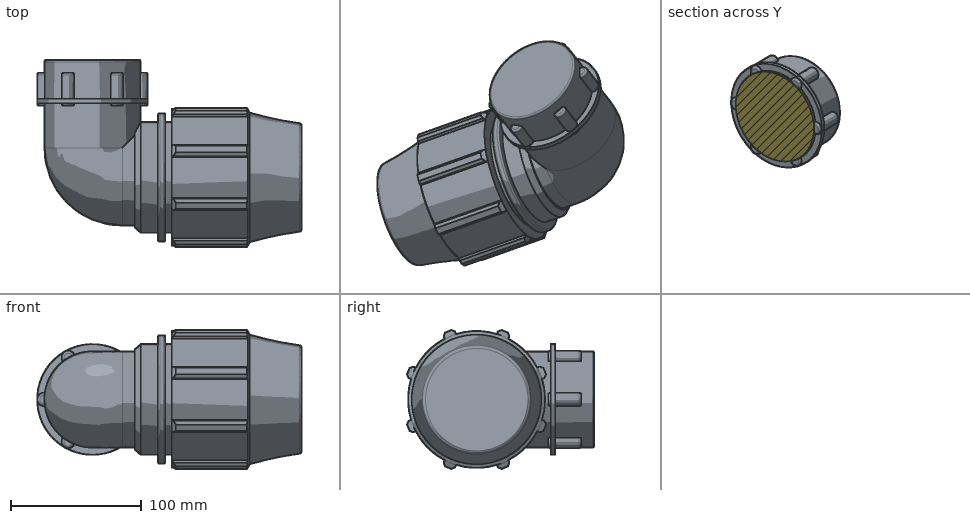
import cadquery as cq
import math


tube_radius = 73.7 / 2
bend_radius = 22.7
spigot_end = 89.8
spigot_rounding = 1.5

flange_radius = 84.8 / 2
flange_start = 56.7
flange_thickness = 3.5
grip_count = 6
grip_radius = 5.0
grip_circle_radius = 37.2
grip_start = 54.6
grip_end = 80.1
grip_rounding = 1.8

body_radius = 84.8 / 2
shoulder_start = 32.2
shoulder_radius = 38.2
shoulder_length = 4.9

ring_radius = 98.3 / 2
ring_start = 50.0
ring_width = 5.7
ring_rounding = 1.5

nut_radius = 52.5
nut_start = 60.5
nut_length = 59.5
nut_end = nut_start + nut_length
nut_end_chamfer = 1.5
nose_base_radius = 49.5
nose_end_radius = 41.3
nose_end = 202.4 - flange_radius
nose_sag = 0.8
nose_rounding = 2.5

rib_count = 8
rib_tip_radius = 56.5
rib_tip_width = 5.3
rib_width = 9.5
rib_shoulder_radius = 54.2
rib_lead_in = 3.0
rib_rear_bevel = 0.6
rib_front_radius = 52.8
rib_embed = 4.0
rib_root_radius = nut_radius - rib_embed
envelope_clearance = 2.0


def cylinder_along_x(start, end, radius):
    return cq.Workplane("YZ", origin=(start, 0, 0)).circle(radius).extrude(end - start)


def cylinder_along_y(start, end, radius, x=0, z=0):
    plane = cq.Plane(origin=(x, start, z), xDir=(1, 0, 0), normal=(0, 1, 0))
    return cq.Workplane(plane).circle(radius).extrude(end - start)


def revolve_about_x(profile):
    return profile.close().revolve(360, (0, 0, 0), (1, 0, 0))


def make_bend():
    """Quarter turn of the tube section, cut off at the bend axis."""
    half_height = math.sqrt(tube_radius**2 - bend_radius**2)
    section = (
        cq.Workplane("XZ", origin=(bend_radius, bend_radius, 0))
        .moveTo(0, half_height)
        .threePointArc((-bend_radius - tube_radius, 0), (0, -half_height))
        .close()
    )
    return section.revolve(90, (0, 0, 0), (0, 1, 0))


def make_spigot():
    tube = cylinder_along_y(bend_radius, spigot_end, tube_radius)
    return tube.faces(">Y").edges().fillet(spigot_rounding)


def make_collar():
    """Flange crossed by round grips whose outer sides stop just inside its rim."""
    collar = cylinder_along_y(flange_start, flange_start + flange_thickness, flange_radius)
    for index in range(grip_count):
        angle = math.radians(index * 360 / grip_count)
        grip = cylinder_along_y(
            grip_start,
            grip_end,
            grip_radius,
            x=grip_circle_radius * math.cos(angle),
            z=grip_circle_radius * math.sin(angle),
        )
        collar = collar.union(grip.edges("%CIRCLE").fillet(grip_rounding))
    return collar


def make_socket_body():
    neck = cylinder_along_x(bend_radius, nut_start, tube_radius)
    body = revolve_about_x(
        cq.Workplane("XY")
        .moveTo(shoulder_start, 0)
        .lineTo(shoulder_start, shoulder_radius)
        .lineTo(shoulder_start + shoulder_length, body_radius)
        .lineTo(nut_start, body_radius)
        .lineTo(nut_start, 0)
    )
    ring = cylinder_along_x(ring_start, ring_start + ring_width, ring_radius)
    ring = ring.edges("%CIRCLE").fillet(ring_rounding)
    return neck.union(body).union(ring)


def make_nut_ribs():
    """Straight-sided ribs with bevelled tips, along the full length of the barrel, as a list."""
    rib = (
        cq.Workplane("YZ", origin=(nut_start, 0, 0))
        .moveTo(-rib_width / 2, rib_root_radius)
        .lineTo(-rib_width / 2, rib_shoulder_radius)
        .lineTo(-rib_tip_width / 2, rib_tip_radius)
        .lineTo(rib_tip_width / 2, rib_tip_radius)
        .lineTo(rib_width / 2, rib_shoulder_radius)
        .lineTo(rib_width / 2, rib_root_radius)
        .close()
        .extrude(nut_length)
    )
    pitch = 360 / rib_count
    return [rib.rotate((0, 0, 0), (1, 0, 0), (index + 0.5) * pitch) for index in range(rib_count)]


def make_nut_envelope():
    """Turned shape that slopes the front ends of the ribs and bevels the rear of the nut."""
    lead_in_slope = rib_lead_in / (rib_tip_radius - rib_front_radius)
    rear_slope = rib_rear_bevel / (rib_tip_radius - nut_radius)
    bevel_start = nut_end - nut_end_chamfer
    peak_radius = rib_tip_radius + envelope_clearance
    return revolve_about_x(
        cq.Workplane("XY")
        .moveTo(nut_start, 0)
        .lineTo(nut_start, rib_front_radius)
        .lineTo(nut_start + (peak_radius - rib_front_radius) * lead_in_slope, peak_radius)
        .lineTo(bevel_start - (peak_radius - nut_radius) * rear_slope, peak_radius)
        .lineTo(bevel_start, nut_radius)
        .lineTo(nut_end, nose_base_radius)
        .lineTo(nut_end, 0)
    )


def make_nose():
    """Tapering, slightly hollow-sided end of the nut."""
    flank_middle = (
        (nut_end + nose_end) / 2,
        (nose_base_radius + nose_end_radius) / 2 - nose_sag,
    )
    nose = revolve_about_x(
        cq.Workplane("XY")
        .moveTo(nut_end, 0)
        .lineTo(nut_end, nose_base_radius)
        .threePointArc(flank_middle, (nose_end, nose_end_radius))
        .lineTo(nose_end, 0)
    )
    return nose.faces(">X").edges().fillet(nose_rounding)


def make_nut():
    nut = cylinder_along_x(nut_start, nut_end, nut_radius)
    for rib in make_nut_ribs():
        nut = nut.union(rib)
    return nut.intersect(make_nut_envelope()).union(make_nose())


result = (
    make_bend()
    .union(make_spigot())
    .union(make_collar())
    .union(make_socket_body())
    .union(make_nut())
)